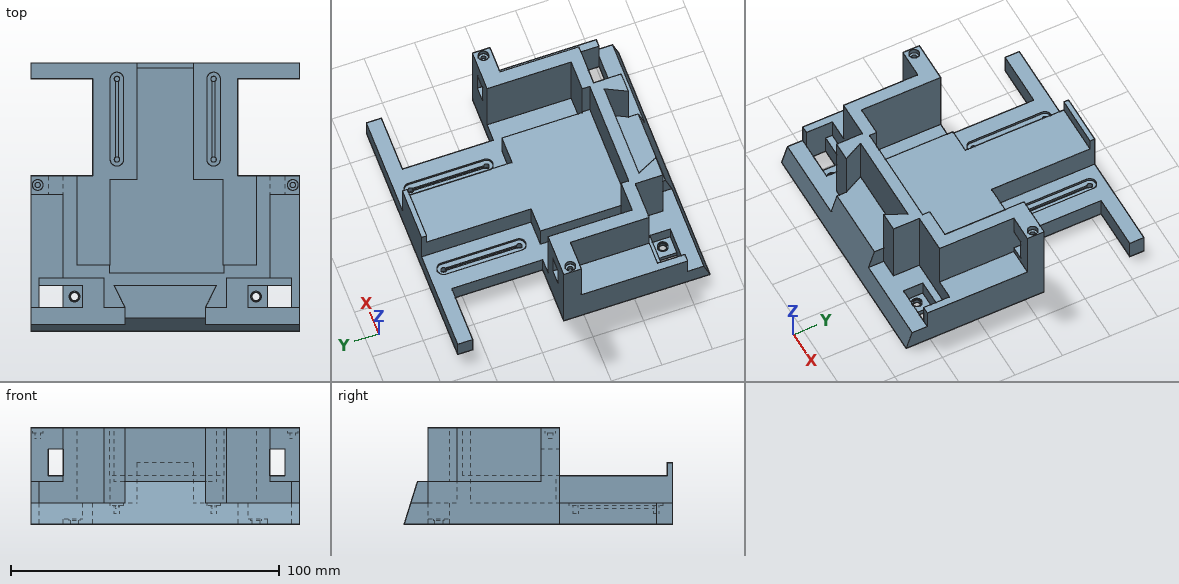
import cadquery as cq

WIDTH = 100.0
LENGTH = 100.0
HEIGHT = 36.0
BASE_TOP = 8.0
LEDGE_TOP = 16.0
BODY_BACK = 58.0
FRONT_RUN = 5.0

NECK_WIDTH = 54.0
ARM_DEPTH = 6.0

DECK_TOP = 18.2
DECK_WIDTH = 42.0
DECK_FRONT = 21.7
DECK_BACK = 56.6
TONGUE_WIDTH = 21.0
LIP_TOP = 23.0
LIP_THICKNESS = 2.0

FRAME_SHIFT = 0.5
FRAME_OUTER_WIDTH = 77.0
FRAME_INNER_WIDTH = 66.8
FRAME_FRONT = 19.8
FRAME_INNER_FRONT = 24.7
POST_FRONT = 51.0
RELIEF_WIDTH = 42.6
WINDOW_WIDTH = 5.5
WINDOW_BOTTOM = 18.2
WINDOW_TOP = 28.0

COLUMN_FRONT = 8.9
COLUMN_OUTER_X = 22.8
GAP_FRONT_X = 15.0
GAP_BACK_X = 19.0
GAP_BACK = 17.0

POCKET_OUTER_X = 47.0
PIT_INNER_X = 30.9
PIT_FLOOR = 2.0
DRAIN_INNER_X = 38.1
PIT_HOLE_X = 33.8
PIT_HOLE_DIAMETER = 3.0
PIT_HOLE_MOUTH = 4.0
PIT_HOLE_MOUTH_DEPTH = 0.5

POST_HOLE_X = 47.5
POST_HOLE_Y = 54.5
POST_HOLE_DIAMETER = 4.0
POST_HOLE_DEPTH = 2.0
POST_PILOT_DIAMETER = 2.0
POST_PILOT_DEPTH = 4.0

SLOT_X = 18.0
SLOT_FRONT = 64.0
SLOT_BACK = 94.0
SLOT_WIDTH = 5.0
SLOT_DEPTH = 1.0
GROOVE_WIDTH = 1.0
GROOVE_DEPTH = 2.0
SLOT_HOLE_DIAMETER = 2.0
SLOT_HOLE_DEPTH = 4.0


def block(x_range, y_range, z_range):
    """Box given by its limits along each axis."""
    limits = (x_range, y_range, z_range)
    sizes = [high - low for low, high in limits]
    corner = tuple(low for low, high in limits)
    return cq.Workplane("XY").box(*sizes, centered=False).translate(corner)


def centred_block(width, y_range, z_range, centre=0.0):
    """Box with its width centred on the given X position."""
    return block((centre - width / 2, centre + width / 2), y_range, z_range)


def blind_hole(x, y, top, diameter, depth):
    """Cylinder that drills down from the given height."""
    return cq.Workplane("XY", origin=(x, y, top - depth)).circle(diameter / 2).extrude(depth)


def slot(x, width, top, depth):
    """Round-ended cutter running along Y."""
    middle = (SLOT_FRONT + SLOT_BACK) / 2
    length = SLOT_BACK - SLOT_FRONT + width
    plane = cq.Workplane("XY", origin=(x, middle, top - depth))
    return plane.slot2D(length, width, 90).extrude(depth)


def make_body():
    body = centred_block(WIDTH, (0, BODY_BACK), (0, LEDGE_TOP))
    neck = centred_block(NECK_WIDTH, (BODY_BACK, LENGTH), (0, BASE_TOP))
    arms = centred_block(WIDTH, (LENGTH - ARM_DEPTH, LENGTH), (0, BASE_TOP))
    return body.union(neck).union(arms)


def add_frame(part):
    """U-shaped upper walls with rear posts reaching out to the body sides."""
    upper = (BASE_TOP, HEIGHT)
    outer = centred_block(FRAME_OUTER_WIDTH, (FRAME_FRONT, BODY_BACK), upper, FRAME_SHIFT)
    posts = centred_block(WIDTH, (POST_FRONT, BODY_BACK), upper)
    columns = centred_block(2 * COLUMN_OUTER_X, (COLUMN_FRONT, FRAME_INNER_FRONT), upper)
    cavity = centred_block(FRAME_INNER_WIDTH, (FRAME_INNER_FRONT, BODY_BACK), upper, FRAME_SHIFT)
    relief = centred_block(RELIEF_WIDTH, (DECK_FRONT, BODY_BACK), upper, FRAME_SHIFT)
    return part.union(outer).union(posts).union(columns).cut(cavity).cut(relief)


def cut_windows(part):
    """Openings through the posts, flush with the outside of the frame walls."""
    for side in (-1, 1):
        centre = FRAME_SHIFT + side * (FRAME_OUTER_WIDTH + WINDOW_WIDTH) / 2
        heights = (WINDOW_BOTTOM, WINDOW_TOP)
        part = part.cut(centred_block(WINDOW_WIDTH, (POST_FRONT, BODY_BACK), heights, centre))
    return part


def add_deck(part):
    heights = (BASE_TOP, DECK_TOP)
    deck = centred_block(DECK_WIDTH, (DECK_FRONT, DECK_BACK), heights, FRAME_SHIFT)
    joint = centred_block(RELIEF_WIDTH, (DECK_FRONT, FRAME_INNER_FRONT), heights, FRAME_SHIFT)
    tongue = centred_block(TONGUE_WIDTH, (DECK_BACK, LENGTH), heights)
    lip = centred_block(TONGUE_WIDTH, (LENGTH - LIP_THICKNESS, LENGTH), (BASE_TOP, LIP_TOP))
    return part.union(deck).union(joint).union(tongue).union(lip)


def cut_dovetail_gap(part):
    """Gap between the columns, wider toward the wall behind it."""
    outline = [
        (-GAP_FRONT_X, COLUMN_FRONT),
        (GAP_FRONT_X, COLUMN_FRONT),
        (GAP_BACK_X, GAP_BACK),
        (-GAP_BACK_X, GAP_BACK),
    ]
    gap = cq.Workplane("XY", origin=(0, 0, LEDGE_TOP)).polyline(outline).close()
    return part.cut(gap.extrude(HEIGHT - LEDGE_TOP))


def cut_front_corner(part, side):
    """Shelf, pocket, pit and screw hole of one front corner."""
    def corner_block(inner_x, outer_x, y_range, z_range):
        return block(sorted((side * inner_x, side * outer_x)), y_range, z_range)

    pit_span = (COLUMN_FRONT, GAP_BACK)
    above_base = (BASE_TOP, LEDGE_TOP)
    shelf = corner_block(GAP_FRONT_X, WIDTH / 2, (0, COLUMN_FRONT), above_base)
    pocket = corner_block(COLUMN_OUTER_X, POCKET_OUTER_X, (COLUMN_FRONT, FRAME_FRONT), above_base)
    pit = corner_block(PIT_INNER_X, POCKET_OUTER_X, pit_span, (PIT_FLOOR, BASE_TOP))
    drain = corner_block(DRAIN_INNER_X, POCKET_OUTER_X, pit_span, (0, PIT_FLOOR))
    hole_place = (side * PIT_HOLE_X, (COLUMN_FRONT + GAP_BACK) / 2, PIT_FLOOR)
    hole = blind_hole(*hole_place, PIT_HOLE_DIAMETER, PIT_FLOOR)
    mouth = blind_hole(*hole_place, PIT_HOLE_MOUTH, PIT_HOLE_MOUTH_DEPTH)
    for cutter in (shelf, pocket, pit, drain, hole, mouth):
        part = part.cut(cutter)
    return part


def cut_post_hole(part, side):
    place = (side * POST_HOLE_X, POST_HOLE_Y, HEIGHT)
    part = part.cut(blind_hole(*place, POST_HOLE_DIAMETER, POST_HOLE_DEPTH))
    return part.cut(blind_hole(*place, POST_PILOT_DIAMETER, POST_PILOT_DEPTH))


def cut_neck_slot(part, side):
    """Shallow slot with a narrow groove in its floor and a hole at each end."""
    x = side * SLOT_X
    part = part.cut(slot(x, SLOT_WIDTH, BASE_TOP, SLOT_DEPTH))
    part = part.cut(slot(x, GROOVE_WIDTH, BASE_TOP, GROOVE_DEPTH))
    for y in (SLOT_FRONT, SLOT_BACK):
        part = part.cut(blind_hole(x, y, BASE_TOP, SLOT_HOLE_DIAMETER, SLOT_HOLE_DEPTH))
    return part


def cut_front_slope(part):
    """Lean the front face back from the bottom front edge."""
    outline = [(0, 0), (FRONT_RUN, LEDGE_TOP), (0, LEDGE_TOP)]
    wedge = cq.Workplane("YZ").polyline(outline).close().extrude(WIDTH / 2, both=True)
    return part.cut(wedge)


part = cut_windows(add_frame(make_body()))
part = cut_dovetail_gap(add_deck(part))
for side in (-1, 1):
    part = cut_front_corner(part, side)
    part = cut_post_hole(part, side)
    part = cut_neck_slot(part, side)
result = cut_front_slope(part)